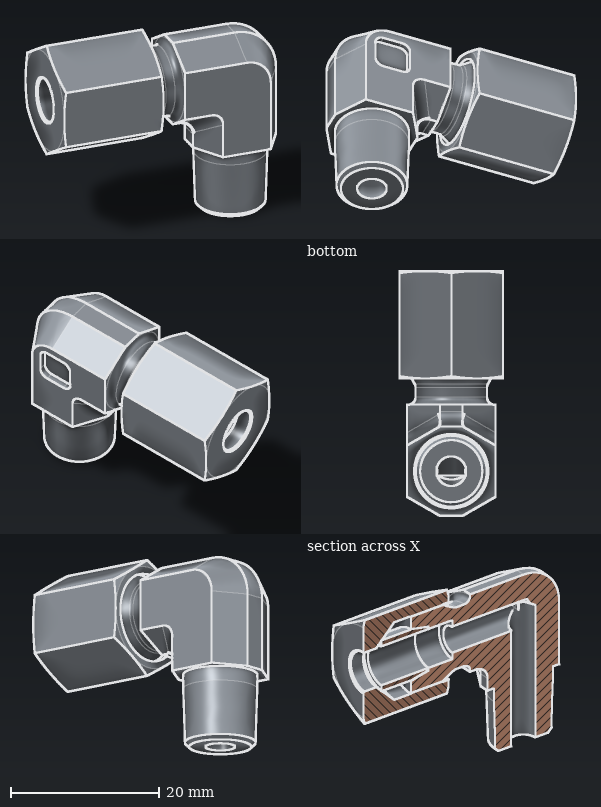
import cadquery as cq
import math


total_length = 33.05

hexagon_half_angle = math.radians(30)

arm_width = 12.0
half_arm = arm_width / 2
side_corner = half_arm * math.tan(hexagon_half_angle)
flat_height = 6.05
hexagon_corner = half_arm / math.cos(hexagon_half_angle)
flat_half_width = (hexagon_corner - flat_height) / math.tan(hexagon_half_angle)
tube_arm_length = 9.0
pipe_arm_length = 10.0
inner_corner_radius = 2.0

pipe_end = 20.0
pipe_radius = 10.05 / 2
pipe_straight_length = 2.0
pipe_taper_per_length = 1 / 32
pipe_tip_chamfer = 0.6

neck_radius = 9.7 / 2
neck_length = 1.32
neck_fillet = 1.0
relief_angle = math.radians(30)
thread_radius = 12.0 / 2
tube_end = 19.0

flow_radius = 4.0 / 2
tube_radius = 6.0 / 2
tube_socket_end = 12.0
drill_overrun = 0.6
drill_half_angle = math.radians(59)
drill_tip = drill_overrun + flow_radius / math.tan(drill_half_angle)

badge_size = 5.1
badge_radius = 1.2
badge_depth = 1.0
badge_y = -0.5
badge_z = -0.55

nut_width = 14.0
nut_length = 14.48
nut_front = total_length - flat_height
nut_back = nut_front - nut_length
nut_corner_radius = nut_width / 2 / math.cos(hexagon_half_angle)
nut_front_bevel = 0.25
nut_back_bevel = 0.3
nut_hole_length = 2.25
nut_hole_end = nut_front - nut_hole_length
nut_hole_chamfer = 0.2

ring_radius = 8.0 / 2
ring_nose_length = 2.98
ring_nose_angle = math.radians(12)
ring_tail_chamfer = 0.2
ring_nose_radius = ring_radius - ring_nose_length * math.tan(ring_nose_angle)
ring_tail = nut_hole_end - (ring_radius - ring_tail_chamfer - tube_radius)
ring_nose = tube_end - ring_nose_length


def turned_on_tube_axis(profile):
    """Turn (radius, distance toward -Y) points about the tube axis."""
    points = [(radius, -distance) for radius, distance in profile]
    return cq.Workplane("XY").polyline(points).close().revolve(360, (0, 0), (0, 1))


def turned_on_pipe_axis(profile):
    """Turn (radius, distance toward -Z) points about the pipe axis."""
    points = [(radius, -distance) for radius, distance in profile]
    return cq.Workplane("XZ").polyline(points).close().revolve(360, (0, 0), (0, 1))


def arm_section(plane):
    flats = [
        (flat_half_width, flat_height),
        (half_arm, side_corner),
        (half_arm, -side_corner),
        (flat_half_width, -flat_height),
    ]
    mirrored = [(-x, height) for x, height in reversed(flats)]
    return cq.Workplane(plane).polyline(flats + mirrored).close()


def elbow_block():
    tube_arm = arm_section("XZ").extrude(tube_arm_length)
    pipe_arm = arm_section("XY").extrude(-pipe_arm_length)
    outer_corner = (
        cq.Workplane("XY")
        .polyline([
            (-half_arm, 0),
            (-half_arm, side_corner),
            (-flat_half_width, flat_height),
            (flat_half_width, flat_height),
            (half_arm, side_corner),
            (half_arm, 0),
        ])
        .close()
        .revolve(360, (0, 0), (1, 0))
    )
    block = tube_arm.union(pipe_arm).union(outer_corner)
    creases = [
        edge for edge in block.edges().vals()
        if edge.Center().y < -side_corner
        and math.isclose(edge.Center().y, edge.Center().z, abs_tol=0.0003)
    ]
    return block.newObject(creases).fillet(inner_corner_radius)


def pipe_stub():
    taper_start = pipe_arm_length + pipe_straight_length
    taper_end = pipe_end - pipe_tip_chamfer
    taper_end_radius = pipe_radius - (taper_end - taper_start) * pipe_taper_per_length
    return turned_on_pipe_axis([
        (0, 0),
        (pipe_radius, 0),
        (pipe_radius, taper_start),
        (taper_end_radius, taper_end),
        (taper_end_radius - pipe_tip_chamfer, pipe_end),
        (0, pipe_end),
    ])


def threaded_stub():
    neck_start = tube_arm_length + neck_fillet
    neck_end = neck_start + neck_length
    arc_end = neck_end + neck_fillet * math.sin(relief_angle)
    arc_end_radius = neck_radius + neck_fillet * (1 - math.cos(relief_angle))
    arc_middle = neck_end + neck_fillet * math.sin(relief_angle / 2)
    arc_middle_radius = neck_radius + neck_fillet * (1 - math.cos(relief_angle / 2))
    thread_start = arc_end + (thread_radius - arc_end_radius) / math.tan(relief_angle)
    fillet_middle = neck_fillet * math.sin(math.radians(45))
    shoulder_radius = neck_radius + neck_fillet
    return (
        cq.Workplane("XY")
        .moveTo(0, 0)
        .lineTo(shoulder_radius, 0)
        .lineTo(shoulder_radius, -tube_arm_length)
        .threePointArc(
            (shoulder_radius - fillet_middle, fillet_middle - neck_start),
            (neck_radius, -neck_start),
        )
        .lineTo(neck_radius, -neck_end)
        .threePointArc((arc_middle_radius, -arc_middle), (arc_end_radius, -arc_end))
        .lineTo(thread_radius, -thread_start)
        .lineTo(thread_radius, -tube_end)
        .lineTo(0, -tube_end)
        .close()
        .revolve(360, (0, 0), (0, 1))
    )


def tube_bore():
    """Flow bore with a drill-point end, tube socket and ring seat."""
    return turned_on_tube_axis([
        (0, -drill_tip),
        (flow_radius, -drill_overrun),
        (flow_radius, tube_socket_end),
        (tube_radius, tube_socket_end),
        (tube_radius, ring_nose),
        (ring_nose_radius, ring_nose),
        (ring_radius, tube_end),
        (0, tube_end),
    ])


def pipe_bore():
    return turned_on_pipe_axis([
        (0, -drill_tip),
        (flow_radius, -drill_overrun),
        (flow_radius, pipe_end),
        (0, pipe_end),
    ])


def badge_recess():
    return (
        cq.Workplane("YZ", origin=(-half_arm, badge_y, badge_z))
        .rect(badge_size, badge_size)
        .extrude(badge_depth)
        .edges("|X")
        .fillet(badge_radius)
    )


def make_elbow():
    solid = elbow_block().union(pipe_stub()).union(threaded_stub())
    return solid.cut(tube_bore()).cut(pipe_bore()).cut(badge_recess())


def make_nut():
    blank = (
        cq.Workplane("XZ", origin=(0, -nut_back, 0))
        .polygon(6, 2 * nut_corner_radius)
        .extrude(nut_length)
        .rotate((0, 0, 0), (0, 1, 0), 30)
    )
    bevelled_envelope = turned_on_tube_axis([
        (0, nut_back),
        (nut_width / 2, nut_back),
        (nut_corner_radius, nut_back + nut_back_bevel),
        (nut_corner_radius, nut_front - nut_front_bevel),
        (nut_width / 2, nut_front),
        (0, nut_front),
    ])
    bore = turned_on_tube_axis([
        (0, nut_back),
        (thread_radius, nut_back),
        (thread_radius, nut_hole_end - (thread_radius - tube_radius)),
        (tube_radius, nut_hole_end),
        (tube_radius, nut_front - nut_hole_chamfer),
        (tube_radius + nut_hole_chamfer, nut_front),
        (0, nut_front),
    ])
    return blank.intersect(bevelled_envelope).cut(bore)


def make_ring():
    return turned_on_tube_axis([
        (tube_radius, ring_nose),
        (ring_nose_radius, ring_nose),
        (ring_radius, tube_end),
        (ring_radius, ring_tail - ring_tail_chamfer),
        (ring_radius - ring_tail_chamfer, ring_tail),
        (tube_radius, ring_tail),
    ])


elbow = make_elbow()
nut = make_nut()
ring = make_ring()

result = cq.Compound.makeCompound([elbow.val(), nut.val(), ring.val()])